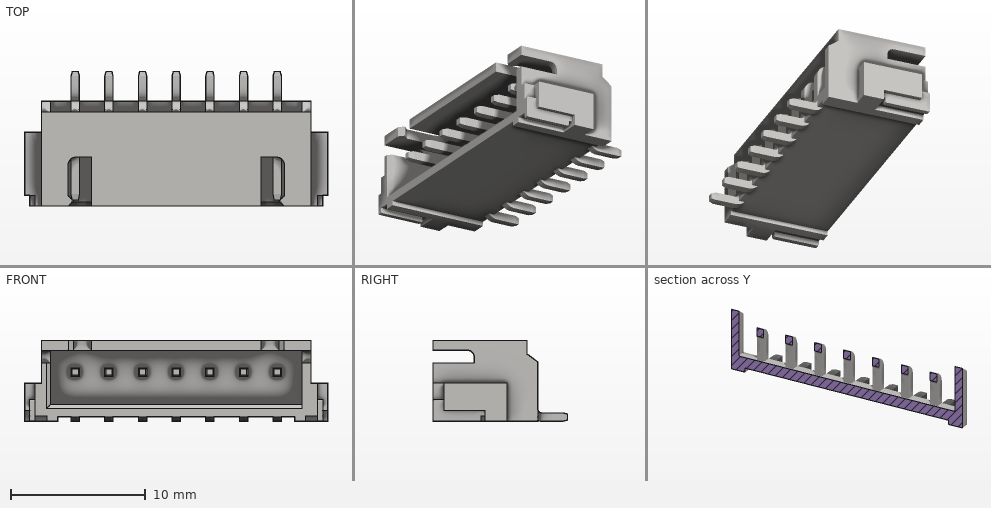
import cadquery as cq


pin_count = 7
pin_pitch = 2.5
pin_size = 0.63
pin_axis_height = 3.65
pin_tip_y = 0.47
pin_rear_y = 10.0
pin_tip_inset = 0.1
front_taper_length = 0.4
rear_taper_length = 0.34
bend_inner_radius = 0.3
bend_outer_radius = bend_inner_radius + pin_size

body_width = 20.0
body_height = 6.0
body_depth = 7.78
half_body = body_width / 2
wall = 0.68
half_cavity = half_body - wall
roof_thickness = 0.75
cavity_top = body_height - roof_thickness
cavity_floor = 1.24
cavity_depth = 5.05
mouth_chamfer = 0.3
floor_underside = 0.34
half_foot_gap = 8.78

back_wall_y = 7.0
slope_bottom = 4.4
slope_top = 5.0

window_depth = 3.05
window_bottom = 4.35
window_radius = 0.52

slot_inner_x = 6.3
slot_outer_x = 8.03
slot_depth = 3.65
slot_radius = 0.63
catch_x = 7.63
catch_y = 0.38
catch_height = slot_outer_x - catch_x
catch_front_x = catch_x + catch_y

half_width = 11.25
lug_top = 2.84
lug_depth = 5.5
tab_thickness = 0.4
tab_outer_x = 10.87
tab_inner_x = tab_outer_x - tab_thickness
tab_riser_depth = 0.8
tab_top = 1.62
tab_arm_depth = 3.87
tab_arm_top = 0.8
tab_relief_y = 3.58
tab_relief_height = tab_thickness
tab_corner_radius = 0.11
groove_inner_x = 9.58


def box(x_range, y_range, z_range):
    """Axis-aligned block between two limits on each axis."""
    x0, x1 = sorted(x_range)
    y0, y1 = y_range
    z0, z1 = z_range
    return cq.Workplane("XY").box(x1 - x0, y1 - y0, z1 - z0, centered=False).translate((x0, y0, z0))


def side_profile():
    """Sketch plane whose local axes are Y and Z; extrusion runs along +X."""
    return cq.Workplane("YZ")


def make_shell():
    """Outer block with sloped rear ends, hollowed from the front and relieved at the rear."""
    shell = (
        side_profile()
        .polyline([
            (0, 0),
            (body_depth, 0),
            (body_depth, slope_bottom),
            (back_wall_y, slope_top),
            (back_wall_y, body_height),
            (0, body_height),
        ])
        .close()
        .extrude(half_body, both=True)
    )
    cavity_x = (-half_cavity, half_cavity)
    shell = shell.cut(box(cavity_x, (0, cavity_depth), (cavity_floor, cavity_top)))
    shell = shell.cut(box(cavity_x, (back_wall_y, body_depth), (cavity_floor, body_height)))
    return shell.cut(box((-half_foot_gap, half_foot_gap), (0, body_depth), (0, floor_underside)))


def mouth_bevel():
    """Flared mouth that bevels the floor edge and the -X wall edge of the cavity, with a mitred corner."""

    def opening(y, flare):
        return cq.Wire.makePolygon(
            [
                cq.Vector(-half_cavity - flare, y, cavity_floor - flare),
                cq.Vector(half_cavity, y, cavity_floor - flare),
                cq.Vector(half_cavity, y, cavity_top),
                cq.Vector(-half_cavity - flare, y, cavity_top),
            ],
            close=True,
        )

    return cq.Solid.makeLoft([opening(0, mouth_chamfer), opening(mouth_chamfer, 0)], True)


def side_windows():
    """Slot through both side walls under the roof, rounded at its upper rear corner."""
    return (
        side_profile()
        .moveTo(0, window_bottom)
        .lineTo(window_depth, window_bottom)
        .lineTo(window_depth, cavity_top - window_radius)
        .radiusArc((window_depth - window_radius, cavity_top), -window_radius)
        .lineTo(0, cavity_top)
        .close()
        .extrude(half_body, both=True)
    )


def roof_slot(side):
    """Slot through the roof on one side (-1 or +1), narrowed by a pointed catch near the front."""
    return (
        cq.Workplane("XY", origin=(0, 0, cavity_top))
        .moveTo(side * slot_inner_x, 0)
        .lineTo(side * slot_inner_x, slot_depth)
        .lineTo(side * (slot_outer_x - slot_radius), slot_depth)
        .radiusArc((side * slot_outer_x, slot_depth - slot_radius), side * slot_radius)
        .lineTo(side * slot_outer_x, catch_y + catch_height)
        .lineTo(side * catch_x, catch_y)
        .lineTo(side * catch_front_x, 0)
        .close()
        .extrude(roof_thickness)
    )


def make_lug(side):
    """Block on one side wall, stepped back in an L where the solder tab sits."""
    lug = box((side * half_body, side * half_width), (0, lug_depth), (0, lug_top))
    tab_zone_x = (side * tab_inner_x, side * half_width)
    lug = lug.cut(box(tab_zone_x, (0, tab_riser_depth), (0, lug_top)))
    return lug.cut(box(tab_zone_x, (0, tab_arm_depth), (0, tab_arm_top)))


def board_groove(side):
    """Shallow groove in the underside, just inboard of the solder tab."""
    return box(
        (side * groove_inner_x, side * tab_inner_x),
        (0, tab_arm_depth),
        (0, tab_thickness),
    )


def tapered_tip(y_base, length):
    """Square pin end standing on the XZ plane at y_base and narrowing along Y by the signed length."""
    end_size = pin_size - 2 * pin_tip_inset
    return (
        cq.Workplane("XZ", origin=(0, y_base, 0))
        .rect(pin_size, pin_size)
        .workplane(offset=-length)
        .rect(end_size, end_size)
        .loft(ruled=True)
    )


def make_pin():
    """Square pin at x = 0: straight contact, a bend down, a bend back, and a flat tail on the board."""
    shank_start = pin_tip_y + front_taper_length
    tail_end = pin_rear_y - rear_taper_length
    upper_top = pin_axis_height + pin_size / 2
    upper_bottom = upper_top - pin_size
    drop_rear = body_depth
    drop_front = drop_rear - pin_size
    strip = (
        side_profile()
        .moveTo(shank_start, upper_bottom)
        .lineTo(drop_front - bend_inner_radius, upper_bottom)
        .radiusArc((drop_front, upper_bottom - bend_inner_radius), bend_inner_radius)
        .lineTo(drop_front, bend_outer_radius)
        .radiusArc((drop_front + bend_outer_radius, 0), -bend_outer_radius)
        .lineTo(tail_end, 0)
        .lineTo(tail_end, pin_size)
        .lineTo(drop_rear + bend_inner_radius, pin_size)
        .radiusArc((drop_rear, pin_size + bend_inner_radius), bend_inner_radius)
        .lineTo(drop_rear, upper_top - bend_outer_radius)
        .radiusArc((drop_rear - bend_outer_radius, upper_top), -bend_outer_radius)
        .lineTo(shank_start, upper_top)
        .close()
        .extrude(pin_size / 2, both=True)
    )
    front_tip = tapered_tip(shank_start, -front_taper_length).translate((0, 0, pin_axis_height))
    rear_tip = tapered_tip(tail_end, rear_taper_length).translate((0, 0, pin_size / 2))
    return strip.union(front_tip).union(rear_tip)


def make_housing():
    """Connector housing with its moulded-in row of pins, as one solid."""
    housing = make_shell().cut(mouth_bevel()).cut(side_windows())
    for side in (-1, 1):
        housing = housing.cut(roof_slot(side)).union(make_lug(side)).cut(board_groove(side))
    pin = make_pin()
    for index in range(pin_count):
        pin_x = (index - (pin_count - 1) / 2) * pin_pitch
        housing = housing.union(pin.translate((pin_x, 0, 0)))
    return housing


def make_solder_tab(side):
    """Flat L-shaped plate filling the step of one lug, with rounded free corners."""
    plate = (
        side_profile()
        .workplane(offset=min(side * tab_inner_x, side * tab_outer_x))
        .polyline([
            (0, 0),
            (tab_relief_y, 0),
            (tab_relief_y, tab_relief_height),
            (tab_arm_depth, tab_relief_height),
            (tab_arm_depth, tab_arm_top),
            (tab_riser_depth, tab_arm_top),
            (tab_riser_depth, tab_top),
            (0, tab_top),
        ])
        .close()
        .extrude(tab_thickness)
    )
    front_corners = plate.edges("|X and <Y")
    rear_corner = plate.edges("|X and <Z").edges(">Y")
    return plate.newObject(front_corners.vals() + rear_corner.vals()).fillet(tab_corner_radius)


housing = make_housing()
solder_tabs = [make_solder_tab(side) for side in (-1, 1)]

result = cq.Compound.makeCompound([housing.val(), *[tab.val() for tab in solder_tabs]])